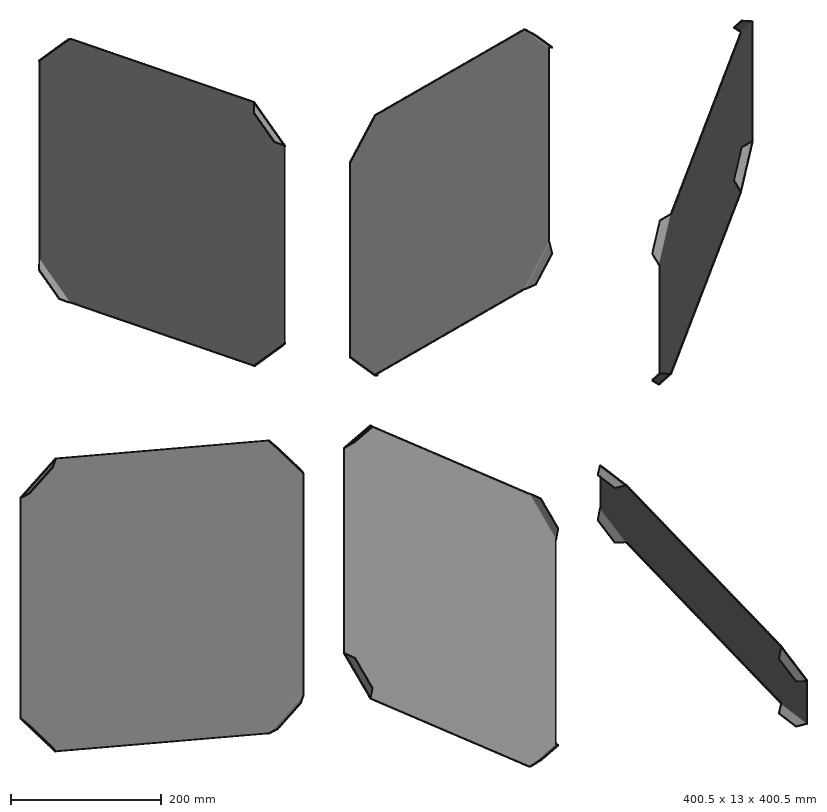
import cadquery as cq
import math

panel_side = 400.0
blank_corner_cut = 33.0
sheet = 0.7
bend_inner_radius = 1.0
neutral_fraction = 0.1
flange_height = 13.0

bend_outer_radius = bend_inner_radius + sheet
neutral_radius = bend_inner_radius + neutral_fraction * sheet
bend_allowance = neutral_radius * math.pi / 2
flange_drop = flange_height - bend_outer_radius

flange_tip_half = blank_corner_cut / math.sqrt(2)
flange_root_half = flange_tip_half + flange_drop
fold_half_length = flange_root_half + bend_allowance

fold_cut = fold_half_length * math.sqrt(2)
fold_distance = (panel_side - fold_cut) / math.sqrt(2)


def make_panel():
    return (
        cq.Workplane("XZ")
        .rect(panel_side, panel_side)
        .extrude(sheet)
        .edges("|Y")
        .chamfer(fold_cut)
    )


def draw_sector(plane, inner, outer):
    """Quarter-ring outline, running counterclockwise from +X to +Y."""
    def point(radius, degrees):
        angle = math.radians(degrees)
        return (radius * math.cos(angle), radius * math.sin(angle))

    return (
        plane.moveTo(*point(inner, 0))
        .lineTo(*point(outer, 0))
        .threePointArc(point(outer, 45), point(outer, 90))
        .lineTo(*point(inner, 90))
        .threePointArc(point(inner, 45), point(inner, 0))
        .close()
    )


def make_bend():
    """Quarter-round bend whose ends wind inward as the blank narrows."""
    axis = (fold_distance, -bend_outer_radius)
    middle = cq.Workplane("XY", origin=(*axis, 0))
    end = cq.Workplane("XY", origin=(*axis, -fold_half_length))

    cutter_inner = bend_inner_radius / 2
    cutter_outer = bend_outer_radius * 2

    half_bend = draw_sector(middle, bend_inner_radius, bend_outer_radius).extrude(-fold_half_length)
    end_cutter = draw_sector(end, cutter_inner, cutter_outer).twistExtrude(bend_allowance, -90)
    half_bend = half_bend.cut(end_cutter)
    return half_bend.union(half_bend.mirror("XY"))


def make_flange():
    """Flat tapered flange beyond the bend."""
    inner_face = fold_distance + bend_inner_radius
    return (
        cq.Workplane("YZ", origin=(inner_face, 0, 0))
        .polyline([
            (-bend_outer_radius, -flange_root_half),
            (-bend_outer_radius, flange_root_half),
            (-flange_height, flange_tip_half),
            (-flange_height, -flange_tip_half),
        ])
        .close()
        .extrude(sheet)
    )


result = make_panel()
folded_corner = make_bend().union(make_flange())
for corner_angle in (45, 135, 225, 315):
    result = result.union(folded_corner.rotate((0, 0, 0), (0, 1, 0), corner_angle))